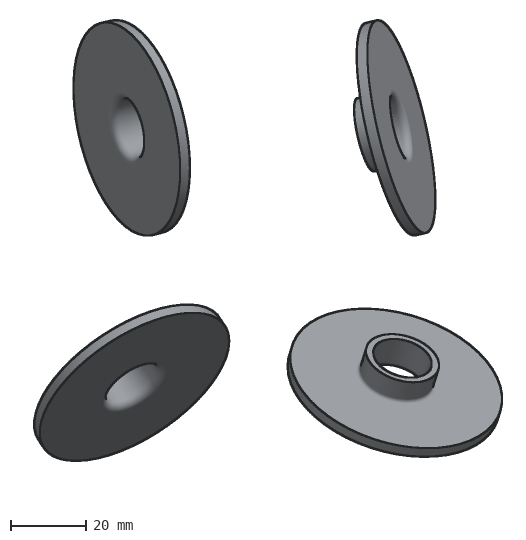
import cadquery as cq

flange_diameter = 58.0
flange_thickness = 3.0
overall_length = 10.0
hub_diameter = 20.0
bore_diameter = 16.0
hub_root_radius = 1.0

bore_mouth_radius = (hub_diameter - bore_diameter) / 2


def cylinder_along_y(diameter, length):
    """Cylinder starting on the flange's outer face (y = 0) and running toward +Y."""
    return cq.Workplane("XZ").circle(diameter / 2).extrude(-length)


def ring_edge(diameter, y):
    """Selector for the circular edge of the given diameter centred on the axis at y."""
    margin = 0.05
    reach = diameter / 2 + margin
    return cq.selectors.BoxSelector(
        (-reach, y - margin, -reach), (reach, y + margin, reach), boundingbox=True
    )


body = cylinder_along_y(flange_diameter, flange_thickness)
body = body.union(cylinder_along_y(hub_diameter, overall_length))
body = body.edges(ring_edge(hub_diameter, flange_thickness)).fillet(hub_root_radius)

body = body.cut(cylinder_along_y(bore_diameter, overall_length))
result = body.edges(ring_edge(bore_diameter, 0)).fillet(bore_mouth_radius)